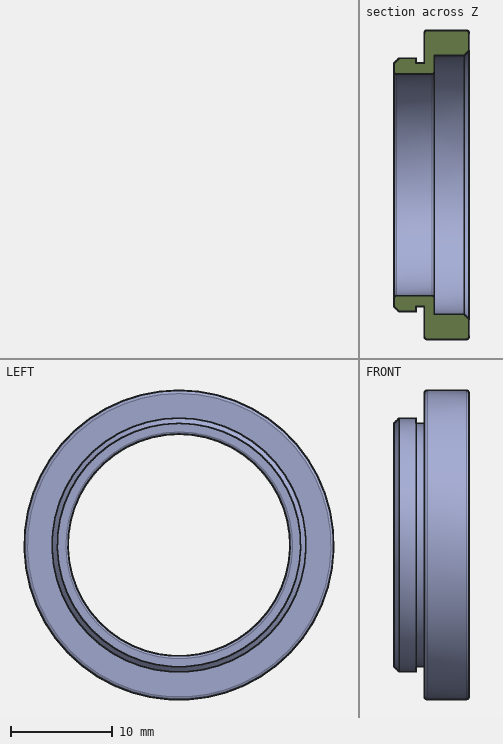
import cadquery as cq


total_length = 7.4
flange_radius = 15.25
collar_length = 3.0
collar_radius = 12.5
collar_chamfer = 0.52
neck_width = 0.8
neck_radius = 12.02
neck_start = collar_length - neck_width

bore_radius = 10.92
seat_radius = 12.75
seat_shoulder = 4.0
seat_chamfer = 0.5

rim_fillet = 0.3
bore_fillet = 0.25

edge_margin = 0.03


def make_ring():
    """Ring body with collar, neck, flange and stepped bore, edges still sharp."""
    profile = (
        cq.Workplane("XZ")
        .moveTo(0, bore_radius)
        .lineTo(0, collar_radius - collar_chamfer)
        .lineTo(collar_chamfer, collar_radius)
        .lineTo(neck_start, collar_radius)
        .lineTo(neck_start, neck_radius)
        .lineTo(collar_length, neck_radius)
        .lineTo(collar_length, flange_radius)
        .lineTo(total_length, flange_radius)
        .lineTo(total_length, seat_radius + seat_chamfer)
        .lineTo(total_length - seat_chamfer, seat_radius)
        .lineTo(seat_shoulder, seat_radius)
        .lineTo(seat_shoulder, bore_radius)
        .close()
    )
    return profile.revolve(360, (0, 0, 0), (1, 0, 0))


def round_edge(body, x, radius, fillet):
    """Fillet the circular edge of the given radius at the given X."""

    def is_wanted(edge):
        at_x = abs(edge.Center().x - x) < edge_margin
        return at_x and abs(edge.radius() - radius) < edge_margin

    return body.edges("%CIRCLE").filter(is_wanted).fillet(fillet)


result = make_ring()

for face_x in (collar_length, total_length):
    result = round_edge(result, face_x, flange_radius, rim_fillet)

for bore_end_x in (0, seat_shoulder):
    result = round_edge(result, bore_end_x, bore_radius, bore_fillet)